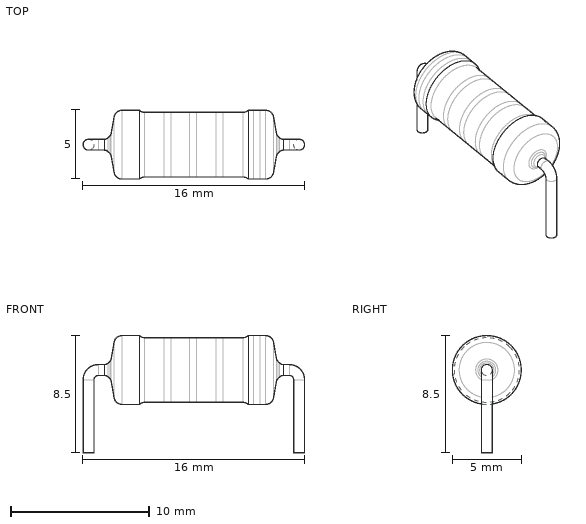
import cadquery as cq
import math


cap_radius = 5.0 / 2
barrel_radius = 4.7 / 2
barrel_half_length = 3.56
cap_inner_x = 3.95
cap_outer_x = 5.18
shoulder_round = 0.61
end_face_tilt = 10.0
end_blend_outer_radius = 0.8
end_blend_round = 0.3
neck_cone_angle = 45.0
neck_cone_end_radius = 0.51

band_width = 0.5
barrel_band_centers = (-1.91, -0.05, 1.85)
cap_band_center = 4.55

lead_radius = 0.8 / 2
bend_radius = 0.7
overall_length = 16.04
overall_height = 8.5
lead_x = overall_length / 2 - lead_radius
lead_bottom_z = cap_radius - overall_height


def arc_span(radius, start_angle, end_angle):
    """Axial run and radial drop of an arc whose slope goes from start to end (degrees)."""
    start = math.radians(start_angle)
    end = math.radians(end_angle)
    run = radius * abs(math.sin(end) - math.sin(start))
    drop = radius * abs(math.cos(end) - math.cos(start))
    return run, drop


def arc_middle(start_point, radius, start_angle, end_angle):
    """Point halfway along an arc of falling slope that begins at start_point."""
    run, drop = arc_span(radius, start_angle, (start_angle + end_angle) / 2)
    return (start_point[0] + run, start_point[1] - drop)


end_face_slope = 90.0 - end_face_tilt
flare_start = (barrel_half_length, barrel_radius)
flare_end = (cap_inner_x, cap_radius)
flare_run = cap_inner_x - barrel_half_length
flare_rise = cap_radius - barrel_radius
flare_round = (flare_run**2 + flare_rise**2) / (2 * flare_rise)
flare_angle = math.asin(flare_run / flare_round)
flare_middle = (
    barrel_half_length + flare_round * math.sin(flare_angle / 2),
    barrel_radius + flare_round * (1 - math.cos(flare_angle / 2)),
)

shoulder_start = (cap_outer_x, cap_radius)
shoulder_run, shoulder_drop = arc_span(shoulder_round, 0, end_face_slope)
shoulder_middle = arc_middle(shoulder_start, shoulder_round, 0, end_face_slope)
shoulder_end = (cap_outer_x + shoulder_run, cap_radius - shoulder_drop)

end_face_drop = shoulder_end[1] - end_blend_outer_radius
blend_start = (
    shoulder_end[0] + end_face_drop * math.tan(math.radians(end_face_tilt)),
    end_blend_outer_radius,
)
blend_run, blend_drop = arc_span(end_blend_round, end_face_slope, neck_cone_angle)
blend_middle = arc_middle(blend_start, end_blend_round, end_face_slope, neck_cone_angle)
blend_end = (blend_start[0] + blend_run, blend_start[1] - blend_drop)

neck_cone_drop = blend_end[1] - neck_cone_end_radius
neck_cone_run = neck_cone_drop / math.tan(math.radians(neck_cone_angle))
neck_start = (blend_end[0] + neck_cone_run, neck_cone_end_radius)
neck_round = (neck_cone_end_radius - lead_radius) / (1 - math.cos(math.radians(neck_cone_angle)))
neck_run = arc_span(neck_round, neck_cone_angle, 0)[0]
neck_middle = arc_middle(neck_start, neck_round, neck_cone_angle, 0)
neck_end = (neck_start[0] + neck_run, lead_radius)


def mirrored(point):
    return (-point[0], point[1])


def band_edges(center):
    return (center - band_width / 2, center + band_width / 2)


def make_body():
    """Revolved ceramic body; extra points on straight stretches mark the band edges."""
    profile = cq.Workplane("XY").moveTo(-neck_end[0], 0).lineTo(*mirrored(neck_end))

    profile = (
        profile.threePointArc(mirrored(neck_middle), mirrored(neck_start))
        .lineTo(*mirrored(blend_end))
        .threePointArc(mirrored(blend_middle), mirrored(blend_start))
        .lineTo(*mirrored(shoulder_end))
        .threePointArc(mirrored(shoulder_middle), mirrored(shoulder_start))
        .lineTo(*mirrored(flare_end))
        .threePointArc(mirrored(flare_middle), mirrored(flare_start))
    )

    for center in barrel_band_centers:
        for edge_x in band_edges(center):
            profile = profile.lineTo(edge_x, barrel_radius)

    profile = profile.lineTo(*flare_start).threePointArc(flare_middle, flare_end)
    for edge_x in band_edges(cap_band_center):
        profile = profile.lineTo(edge_x, cap_radius)
    profile = (
        profile.lineTo(*shoulder_start)
        .threePointArc(shoulder_middle, shoulder_end)
        .lineTo(*blend_start)
        .threePointArc(blend_middle, blend_end)
        .lineTo(*neck_start)
        .threePointArc(neck_middle, neck_end)
        .lineTo(neck_end[0], 0)
        .close()
    )
    return profile.revolve(360, (0, 0, 0), (1, 0, 0), clean=False)


def make_lead(side):
    """Round wire from the neck face, bent down; side is -1 for left and 1 for right."""
    bend_start_x = lead_x - bend_radius
    bend_middle_x = bend_start_x + bend_radius * math.sin(math.pi / 4)
    bend_middle_z = -bend_radius * (1 - math.cos(math.pi / 4))
    path = (
        cq.Workplane("XZ")
        .moveTo(side * neck_end[0], 0)
        .lineTo(side * bend_start_x, 0)
        .threePointArc((side * bend_middle_x, bend_middle_z), (side * lead_x, -bend_radius))
        .lineTo(side * lead_x, lead_bottom_z)
    )
    return cq.Workplane("YZ", origin=(side * neck_end[0], 0, 0)).circle(lead_radius).sweep(path)


body = make_body()
leads = [make_lead(side) for side in (-1, 1)]

result = cq.Compound.makeCompound([body.val(), *[lead.val() for lead in leads]])